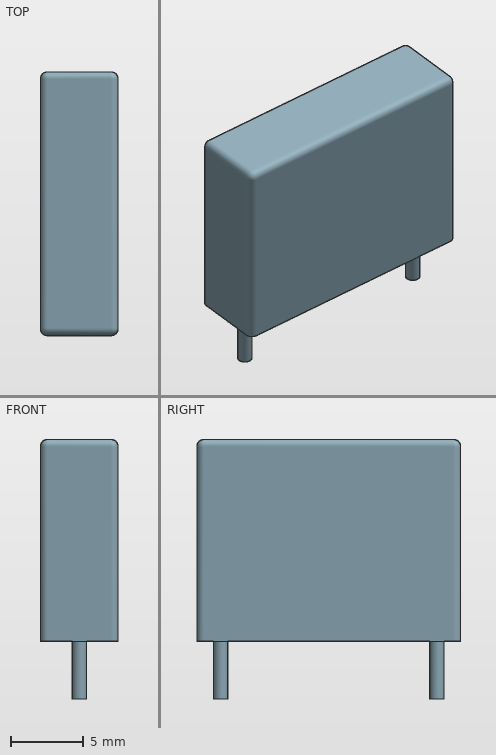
import cadquery as cq

body_width = 5.4
body_length = 18.3
total_height = 18.0
edge_radius = 0.5

lead_diameter = 1.0
lead_length = 4.0
lead_spacing = 15.0

body_height = total_height - lead_length


def make_body():
    """Box standing on Z = 0, rounded on its upright and top edges."""
    box = cq.Workplane("XY").box(
        body_width, body_length, body_height, centered=(True, True, False)
    )
    return box.edges("|Z or >Z").fillet(edge_radius)


def add_leads(body):
    """Straight leads running down from the flat underside."""
    lead_centers = [(0, side * lead_spacing / 2) for side in (-1, 1)]
    leads = (
        cq.Workplane("XY")
        .pushPoints(lead_centers)
        .circle(lead_diameter / 2)
        .extrude(-lead_length)
    )
    return body.union(leads)


result = add_leads(make_body())